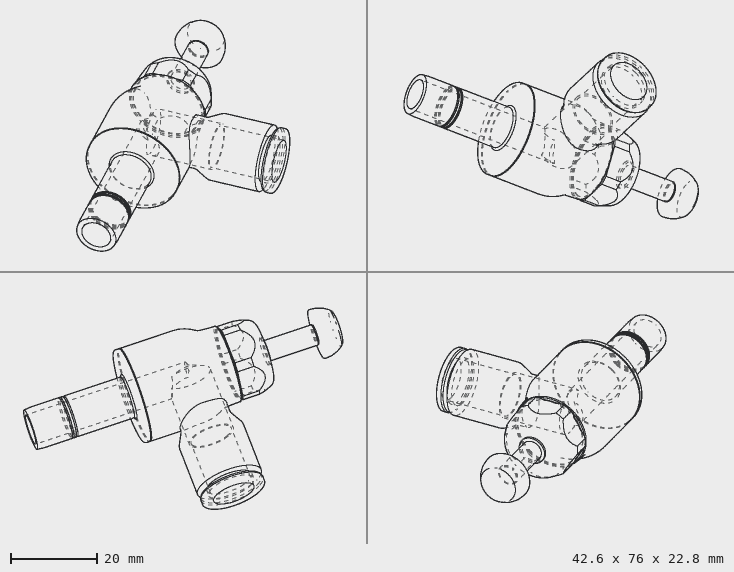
import cadquery as cq
import math


stem_radius = 5.0
stem_tip_radius = 4.9
stem_taper_length = 1.7
stem_bore_radius = 3.6
root_radius = 5.55
root_chamfer = 0.45
stem_groove_depth = 0.15
stem_groove_width = 0.4
stem_groove_starts = (8.6, 9.6)

body_radius = 11.4
body_start = 24.3
body_rim_fillet = 0.5
seam_start = 25.6
seam_width = 0.2
seam_depth = 0.1
branch_height = 39.0
shoulder_arc_radius = 8.5
shoulder_blend_radius = 2.4
collar_base_radius = 9.5
collar_top_radius = 9.3
collar_top = 48.95
collar_chamfer = 0.2

nut_radius = 9.35
nut_across_flats = 17.2
nut_start = 49.2
nut_cone_start = 53.2
nut_top = 57.75
nut_cone_angle = 20.0
nut_top_fillet = 2.0
nut_gap_radius = 8.5

washer_radius = 3.35
washer_top = 58.3
spindle_radius = 2.5
spindle_top = 70.2
spindle_neck_radius = 2.3
knob_radius = 6.0
knob_start = 70.5
knob_dome_start = 71.0
knob_top = 76.0
knob_dome_radius = 7.1
knob_top_fillet = 1.8
knob_edge_fillet = 0.4

neck_radius = 6.15
flare_start = 12.15
flare_end = 15.7
branch_radius = 8.0
branch_end = 28.1
flare_blend_radius = 1.4
ring_neck_radius = 5.6
flange_radius = 7.75
flange_start = 29.4
flange_chamfer_length = 0.45
flange_chamfer_height = 0.2
flange_edge_fillet = 0.3
ring_end = 31.15

drill_tip_ratio = 0.6
bore_overrun = 0.4
stem_bore_depth = branch_height + bore_overrun
chamber_radius = 5.5
tube_hole_radius = 5.0

pick_margin = 0.1


def turned(outline):
    """Close an outline of radius and height against the Y axis and revolve it."""
    return outline.close().revolve(360, (0, 0, 0), (0, 1, 0))


def disc(radius, start, end):
    """Solid cylinder on the Y axis between two heights."""
    return cq.Workplane("XZ", origin=(0, start, 0)).circle(radius).extrude(start - end)


def ring_cut(outer_radius, depth, start, width):
    """Ring used to cut a square groove around the Y axis."""
    outer = disc(outer_radius + depth, start, start + width)
    return outer.cut(disc(outer_radius - depth, start, start + width))


def drill(radius, depth):
    """Drilled hole along +Y: a cylinder from 0 to depth, ending in a cone."""
    return turned(
        cq.Workplane("XY")
        .lineTo(radius, 0)
        .lineTo(radius, depth)
        .lineTo(0, depth + radius * drill_tip_ratio)
    )


def make_stem():
    stem = turned(
        cq.Workplane("XY")
        .lineTo(stem_tip_radius, 0)
        .lineTo(stem_radius, stem_taper_length)
        .lineTo(stem_radius, body_start - root_chamfer)
        .lineTo(root_radius, body_start)
        .lineTo(root_radius, branch_height)
        .lineTo(0, branch_height)
    )
    for start in stem_groove_starts:
        stem = stem.cut(ring_cut(stem_radius, stem_groove_depth, start, stem_groove_width))
    return stem


def make_body():
    arc_center_radius = body_radius - shoulder_arc_radius

    def shoulder_point(angle):
        return (
            arc_center_radius + shoulder_arc_radius * math.cos(angle),
            branch_height + shoulder_arc_radius * math.sin(angle),
        )

    collar_angle = math.acos((collar_base_radius - arc_center_radius) / shoulder_arc_radius)
    collar_base = shoulder_point(collar_angle)
    body = turned(
        cq.Workplane("XY")
        .moveTo(0, body_start)
        .lineTo(body_radius, body_start)
        .lineTo(body_radius, branch_height)
        .threePointArc(shoulder_point(collar_angle / 2), collar_base)
        .lineTo(collar_top_radius, collar_top)
        .lineTo(0, collar_top)
    )
    collar_corner = cq.selectors.BoxSelector(
        (-body_radius, collar_base[1] - pick_margin, -body_radius),
        (body_radius, collar_base[1] + pick_margin, body_radius),
    )
    body = body.edges(collar_corner).fillet(shoulder_blend_radius)
    body = body.faces("<Y").edges().fillet(body_rim_fillet)
    body = body.faces(">Y").edges().chamfer(collar_chamfer)
    return body.cut(ring_cut(body_radius, seam_depth, seam_start, seam_width))


def make_nut():
    cone_inset = (nut_top - nut_cone_start) * math.tan(math.radians(nut_cone_angle))
    blank = turned(
        cq.Workplane("XY")
        .moveTo(0, nut_start)
        .lineTo(nut_radius, nut_start)
        .lineTo(nut_radius, nut_cone_start)
        .lineTo(nut_radius - cone_inset, nut_top)
        .lineTo(0, nut_top)
    )
    blank = blank.faces(">Y").edges().fillet(nut_top_fillet)
    across_corners = nut_across_flats / math.cos(math.radians(30))
    hexagon = (
        cq.Workplane("XZ", origin=(0, nut_start, 0))
        .polygon(6, across_corners)
        .extrude(nut_start - nut_top)
    )
    return blank.intersect(hexagon).union(disc(nut_gap_radius, collar_top, nut_start))


def make_knob():
    def dome_radius_at(height):
        rise = height - knob_dome_start
        return knob_radius - knob_dome_radius + math.sqrt(knob_dome_radius**2 - rise**2)

    dome_middle = (knob_dome_start + knob_top) / 2
    knob = turned(
        cq.Workplane("XY")
        .moveTo(0, knob_start)
        .lineTo(knob_radius, knob_start)
        .lineTo(knob_radius, knob_dome_start)
        .threePointArc((dome_radius_at(dome_middle), dome_middle), (dome_radius_at(knob_top), knob_top))
        .lineTo(0, knob_top)
    )
    knob = knob.faces(">Y").edges().fillet(knob_top_fillet)
    return knob.faces("<Y").edges().fillet(knob_edge_fillet)


def make_spindle():
    washer = disc(washer_radius, nut_top, washer_top)
    shaft = disc(spindle_radius, washer_top, spindle_top)
    neck = disc(spindle_neck_radius, spindle_top, knob_start)
    return washer.union(shaft).union(neck)


def along_branch(solid):
    """Turn a solid made on the Y axis onto the branch axis, so +Y becomes +X."""
    return solid.rotate((0, 0, 0), (0, 0, 1), -90).translate((0, branch_height, 0))


def make_branch():
    socket = turned(
        cq.Workplane("XY")
        .lineTo(neck_radius, 0)
        .lineTo(neck_radius, flare_start)
        .lineTo(branch_radius, flare_end)
        .lineTo(branch_radius, branch_end)
        .lineTo(0, branch_end)
    )
    flare_corners = cq.selectors.BoxSelector(
        (-branch_radius, flare_start - pick_margin, -branch_radius),
        (branch_radius, flare_end + pick_margin, branch_radius),
    )
    socket = socket.edges("%CIRCLE").edges(flare_corners).fillet(flare_blend_radius)
    release_ring = turned(
        cq.Workplane("XY")
        .moveTo(0, branch_end)
        .lineTo(ring_neck_radius, branch_end)
        .lineTo(ring_neck_radius, flange_start)
        .lineTo(flange_radius - flange_chamfer_height, flange_start)
        .lineTo(flange_radius, flange_start + flange_chamfer_length)
        .lineTo(flange_radius, ring_end)
        .lineTo(0, ring_end)
    )
    release_ring = release_ring.faces(">Y").edges().fillet(flange_edge_fillet)
    return along_branch(socket.union(release_ring))


def make_branch_passage():
    chamber = drill(chamber_radius, flare_end).rotate((0, 0, 0), (1, 0, 0), 180)
    chamber = chamber.translate((0, flare_end, 0))
    return along_branch(chamber.union(disc(tube_hole_radius, flare_end, ring_end)))


result = (
    make_body()
    .union(make_stem())
    .union(make_nut())
    .union(make_spindle())
    .union(make_knob())
    .union(make_branch())
    .cut(drill(stem_bore_radius, stem_bore_depth))
    .cut(make_branch_passage())
)